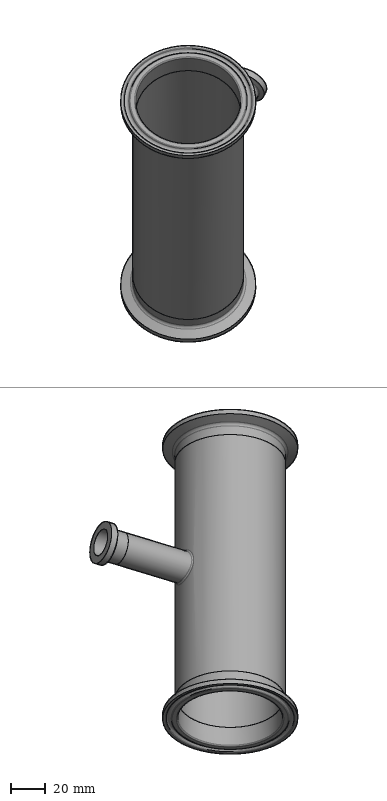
import cadquery as cq
import math

total_length = 184.2
branch_face_y = 85.7
branch_z = total_length / 2
ferrule_length = 12.7
flange_slope = math.radians(20)

tube_radius = 63.5 / 2
tube_bore_radius = 30.0
flange_radius = 38.7
flange_rim = 3.0
neck_fillet = 2.0
groove_center_radius = 35.2
groove_half_width = 1.5
groove_depth = 1.5
groove_edge_fillet = 0.5
mouth_fillet = 0.7

branch_radius = 9.5
branch_bore_radius = 8.0
branch_flange_radius = 12.5
branch_flange_rim = 4.0
branch_neck_fillet = 0.5
branch_weld_fillet = 1.0


def revolve_z(profile):
    """Turn a (radius, height) profile about the Z axis."""
    return profile.close().revolve(360, (0, 0, 0), (0, 1, 0))


def ferrule_blank(bore, neck, flange, rim, fillet):
    """Ferrule with its clamp face at Z = 0 and its neck pointing along +Z.

    A fillet tangent to both joins the cone behind the rim to the neck.
    """
    def fillet_point(angle):
        return (
            fillet_center_radius - fillet * math.cos(angle),
            neck_start - fillet * math.sin(angle),
        )

    fillet_center_radius = neck + fillet
    fillet_sweep = math.pi / 2 - flange_slope
    cone_end_radius = fillet_center_radius - fillet * math.cos(fillet_sweep)
    cone_end_z = rim + (flange - cone_end_radius) * math.tan(flange_slope)
    neck_start = cone_end_z + fillet * math.sin(fillet_sweep)
    return revolve_z(
        cq.Workplane("XZ")
        .moveTo(bore, 0)
        .lineTo(flange, 0)
        .lineTo(flange, rim)
        .lineTo(cone_end_radius, cone_end_z)
        .threePointArc(fillet_point(fillet_sweep / 2), (neck, neck_start))
        .lineTo(neck, ferrule_length)
        .lineTo(bore, ferrule_length)
    )


def gasket_groove():
    """Ring that cuts the round-bottomed groove in the clamp face."""
    return revolve_z(
        cq.Workplane("XZ")
        .moveTo(groove_center_radius - groove_half_width, 0)
        .threePointArc(
            (groove_center_radius, groove_depth),
            (groove_center_radius + groove_half_width, 0),
        )
    )


def edge_at_face(ferrule, radius):
    """Pick the circular edge of the given radius in the clamp face."""
    face_edges = ferrule.edges("%CIRCLE").edges("<Z")
    return ferrule.newObject([min(face_edges.vals(), key=lambda edge: abs(edge.radius() - radius))])


def make_main_ferrule():
    ferrule = ferrule_blank(tube_bore_radius, tube_radius, flange_radius, flange_rim, neck_fillet)
    ferrule = ferrule.cut(gasket_groove())
    for side in (-1, 1):
        groove_edge = edge_at_face(ferrule, groove_center_radius + side * groove_half_width)
        ferrule = groove_edge.fillet(groove_edge_fillet)
    return edge_at_face(ferrule, tube_bore_radius).fillet(mouth_fillet)


def make_branch_ferrule():
    ferrule = ferrule_blank(
        branch_bore_radius, branch_radius, branch_flange_radius, branch_flange_rim, branch_neck_fillet
    )
    ferrule = ferrule.rotate((0, 0, 0), (1, 0, 0), 90)
    return ferrule.translate((0, branch_face_y, branch_z))


def main_cylinder(radius):
    """Cylinder on the main axis, between the two main ferrules."""
    start = cq.Workplane("XY").workplane(offset=ferrule_length)
    return start.circle(radius).extrude(total_length - 2 * ferrule_length)


def branch_cylinder(radius):
    """Cylinder from the main axis out to the branch ferrule."""
    start = cq.Workplane("XZ").center(0, branch_z)
    return start.circle(radius).extrude(-(branch_face_y - ferrule_length))


def make_tee_tube():
    """Main tube with the branch tube joined to its wall, both hollow."""
    tube = main_cylinder(tube_radius).union(branch_cylinder(branch_radius))
    joint = cq.selectors.BoxSelector(
        (-branch_radius, 0, branch_z - branch_radius),
        (branch_radius, tube_radius + branch_weld_fillet, branch_z + branch_radius),
    )
    tube = tube.edges(joint).fillet(branch_weld_fillet)
    return tube.cut(main_cylinder(tube_bore_radius)).cut(branch_cylinder(branch_bore_radius))


tee_tube = make_tee_tube()

bottom_ferrule = make_main_ferrule()
top_ferrule = bottom_ferrule.mirror("XY").translate((0, 0, total_length))
main_ferrules = [ferrule.val() for ferrule in (bottom_ferrule, top_ferrule)]

branch_ferrule = make_branch_ferrule()

result = cq.Compound.makeCompound([tee_tube.val(), *main_ferrules, branch_ferrule.val()])